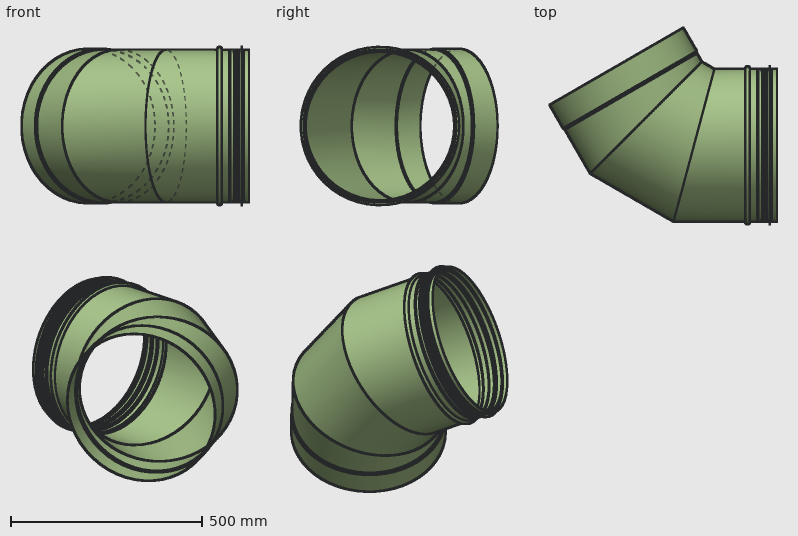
import cadquery as cq
import math


PIPE_D = 400.5
BORE_D = 397.0
SOCKET_BORE_D = 401.5
BEND_RADIUS = 270.0
BEND_ANGLE = 60.0
GORE_COUNT = 3

PIPE_R = PIPE_D / 2
BORE_R = BORE_D / 2
SHEET = PIPE_R - BORE_R
SOCKET_BORE_R = SOCKET_BORE_D / 2
SOCKET_R = SOCKET_BORE_R + SHEET
GORE_ANGLE = BEND_ANGLE / (GORE_COUNT - 1)
MITRE_ANGLE = GORE_ANGLE / 2

MITRE_ALLOWANCE = 30.0
TUBE_REACH = (BEND_RADIUS + PIPE_R) * math.tan(math.radians(MITRE_ANGLE)) + MITRE_ALLOWANCE

SOCKET_END = 83.0
SOCKET_LENGTH = 71.0
FLARE_LENGTH = 5.5

LENGTH_X = 596.0
TURN = math.radians(BEND_ANGLE)
SOCKET_REACH = (BEND_RADIUS + SOCKET_R) * math.sin(TURN) + SOCKET_END * math.cos(TURN)
SPIGOT_END = LENGTH_X - SOCKET_REACH

BEAD_OFFSET = 77.5
BEAD_WIDTH = 13.0
BEAD_D = 414.5
BEAD_CREST_R = BEAD_D / 2

GROOVE_OFFSETS = (44.5, 22.0)
GROOVE_WIDTH = 13.0
GROOVE_FLOOR_R = 195.5
MOUTH_FLARE = 2.1

SEAL_R = PIPE_R
SEAL_CHAMFER = 2.1
LIP_R = BEAD_CREST_R
LIP_THICKNESS = 1.0
LIP_SHIFT = 3.0


def revolve_about_x(profile):
    """Turn a closed (x, radius) profile about the X axis."""
    return profile.close().revolve(360, (0, 0, 0), (1, 0, 0))


def keep_side(body, mitre_angle, side):
    """Keep the part of a tube on one side (+1 or -1 in X) of a mitre plane through the bend centre."""
    size = 4 * (BEND_RADIUS + PIPE_R)
    half_space = (
        cq.Workplane("XY")
        .box(size, size, size)
        .translate((side * size / 2, BEND_RADIUS, 0))
        .rotate((0, BEND_RADIUS, 0), (0, BEND_RADIUS, 1), mitre_angle)
    )
    return body.intersect(half_space)


def swing(body, gore_index):
    """Turn a gore from the spigot position to its place along the bend."""
    return body.rotate((0, BEND_RADIUS, 0), (0, BEND_RADIUS, 1), -gore_index * GORE_ANGLE)


def spigot_skin(wall_r, crest_r, bead_width, floor_r, groove_width, flare):
    """Revolve the space inside one face of the spigot sheet, with its bead and grooves."""
    bead_x = SPIGOT_END - BEAD_OFFSET
    half_bead = bead_width / 2
    half_groove = groove_width / 2
    sketch = (
        cq.Workplane("XY")
        .moveTo(-TUBE_REACH, 0)
        .lineTo(-TUBE_REACH, wall_r)
        .lineTo(bead_x - half_bead, wall_r)
        .threePointArc((bead_x, crest_r), (bead_x + half_bead, wall_r))
    )
    for offset in GROOVE_OFFSETS:
        centre = SPIGOT_END - offset
        sketch = sketch.lineTo(centre - half_groove - flare, wall_r)
        if flare > 0:
            sketch = sketch.lineTo(centre - half_groove, wall_r - flare)
        sketch = sketch.lineTo(centre - half_groove, floor_r).lineTo(centre + half_groove, floor_r)
        if flare > 0:
            sketch = sketch.lineTo(centre + half_groove, wall_r - flare)
        sketch = sketch.lineTo(centre + half_groove + flare, wall_r)
    return revolve_about_x(sketch.lineTo(SPIGOT_END, wall_r).lineTo(SPIGOT_END, 0))


def make_spigot_gore():
    outside = spigot_skin(
        PIPE_R, BEAD_CREST_R, BEAD_WIDTH, GROOVE_FLOOR_R, GROOVE_WIDTH, MOUTH_FLARE
    )
    inside = spigot_skin(
        BORE_R,
        BEAD_CREST_R - SHEET,
        BEAD_WIDTH - 2 * SHEET,
        GROOVE_FLOOR_R - SHEET,
        GROOVE_WIDTH + 2 * SHEET,
        0,
    )
    return keep_side(outside.cut(inside), -MITRE_ANGLE, 1)


def make_middle_gore():
    tube = revolve_about_x(
        cq.Workplane("XY")
        .moveTo(-TUBE_REACH, BORE_R)
        .lineTo(TUBE_REACH, BORE_R)
        .lineTo(TUBE_REACH, PIPE_R)
        .lineTo(-TUBE_REACH, PIPE_R)
    )
    one_side = keep_side(tube, -MITRE_ANGLE, 1)
    return swing(keep_side(one_side, MITRE_ANGLE, -1), 1)


def make_socket_gore():
    flare_start = -SOCKET_END + SOCKET_LENGTH
    flare_end = flare_start + FLARE_LENGTH
    tube = revolve_about_x(
        cq.Workplane("XY")
        .moveTo(-SOCKET_END, SOCKET_BORE_R)
        .lineTo(flare_start, SOCKET_BORE_R)
        .lineTo(flare_end, BORE_R)
        .lineTo(TUBE_REACH, BORE_R)
        .lineTo(TUBE_REACH, PIPE_R)
        .lineTo(flare_end, PIPE_R)
        .lineTo(flare_start, SOCKET_R)
        .lineTo(-SOCKET_END, SOCKET_R)
    )
    return swing(keep_side(tube, MITRE_ANGLE, -1), GORE_COUNT - 1)


def make_seal(offset, has_lip):
    """A ring filling one groove up to the pipe surface, with or without a thin outer lip."""
    centre = SPIGOT_END - offset
    half_width = GROOVE_WIDTH / 2
    half_top = half_width - SEAL_CHAMFER
    sketch = (
        cq.Workplane("XY")
        .moveTo(centre - half_width, GROOVE_FLOOR_R)
        .lineTo(centre - half_width, SEAL_R - SEAL_CHAMFER)
        .lineTo(centre - half_top, SEAL_R)
    )
    if has_lip:
        lip_start = centre + LIP_SHIFT - LIP_THICKNESS / 2
        lip_end = lip_start + LIP_THICKNESS
        sketch = (
            sketch.lineTo(lip_start, SEAL_R)
            .lineTo(lip_start, LIP_R)
            .lineTo(lip_end, LIP_R)
            .lineTo(lip_end, SEAL_R)
        )
    sketch = (
        sketch.lineTo(centre + half_top, SEAL_R)
        .lineTo(centre + half_width, SEAL_R - SEAL_CHAMFER)
        .lineTo(centre + half_width, GROOVE_FLOOR_R)
    )
    return revolve_about_x(sketch)


spigot_gore = make_spigot_gore()
middle_gore = make_middle_gore()
socket_gore = make_socket_gore()
seals = [make_seal(offset, offset == min(GROOVE_OFFSETS)) for offset in GROOVE_OFFSETS]

result = cq.Compound.makeCompound(
    [
        spigot_gore.val(),
        middle_gore.val(),
        socket_gore.val(),
        *[seal.val() for seal in seals],
    ]
)